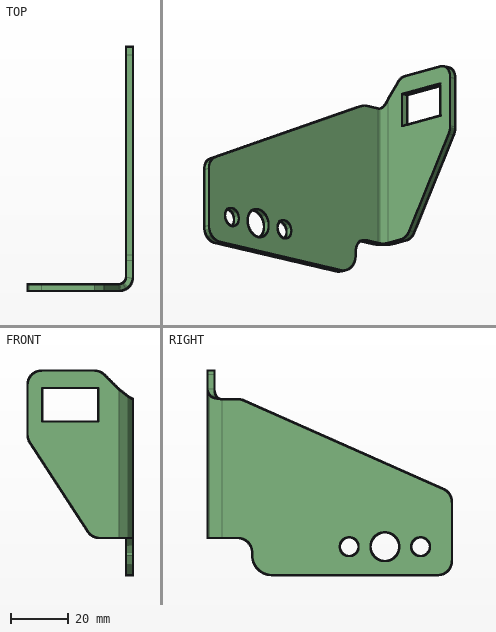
import math

import cadquery as cq


width = 37.0
depth = 85.61
height = 71.7
thickness = 2.5

inner_radius = 2.5
outer_radius = inner_radius + thickness
bend_x = width - outer_radius
bend_y = outer_radius

corner_radius = 5.0

flange_bottom = 13.0
left_edge_drop = 24.0
flange_foot_x = 22.6
top_corner_x = 25.5
ramp_angle = math.radians(45.0)
shoulder_drop = (bend_x - top_corner_x) * math.tan(ramp_angle)
shoulder_z = height - shoulder_drop

window_width = 19.6
window_height = 11.6
window_left = 5.2
window_top_margin = 6.2

web_top = 61.7
web_slope_start_y = 11.7
web_end_top = 28.9
web_foot_length = 70.0
notch_y = depth - web_foot_length
notch_foot_radius = 7.0

hole_z = 10.0
hole_pitch = 12.5
main_hole_setback = 23.5
main_hole_y = depth - main_hole_setback
main_hole_diameter = 10.0
side_hole_diameter = 6.5

middle_radius = (inner_radius + outer_radius) / 2
ramp_length = (shoulder_z - web_top) / math.tan(ramp_angle)
blend_tangent = corner_radius * math.tan(ramp_angle / 2)
blend_start = ramp_length - blend_tangent * math.cos(ramp_angle)
blend_end = ramp_length + blend_tangent

cutter_margin = 1.0
edge_steps = 8


def make_flange():
    outline = [
        (0, height),
        (top_corner_x, height),
        (bend_x, shoulder_z),
        (bend_x, flange_bottom),
        (flange_foot_x, flange_bottom),
        (0, height - left_edge_drop),
    ]
    plate = cq.Workplane("XZ").polyline(outline).close().extrude(-thickness)
    rounded_corners = [point for point in outline if point[0] < bend_x]
    for x, z in rounded_corners:
        corner = cq.selectors.NearestToPointSelector((x, thickness / 2, z))
        plate = plate.edges("|Y").edges(corner).fillet(corner_radius)
    window = cq.Workplane("XY").box(window_width, thickness, window_height, centered=False)
    window_bottom = height - window_top_margin - window_height
    return plate.cut(window.translate((window_left, 0, window_bottom)))


def make_web():
    outline = [
        (bend_y, web_top),
        (web_slope_start_y, web_top),
        (depth, web_end_top),
        (depth, 0),
        (notch_y, 0),
        (notch_y, flange_bottom),
        (bend_y, flange_bottom),
    ]
    radii = [0, corner_radius, corner_radius, corner_radius, notch_foot_radius, corner_radius, 0]
    plate_plane = cq.Workplane("YZ", origin=(width - thickness, 0, 0))
    plate = plate_plane.polyline(outline).close().extrude(thickness)
    for (y, z), radius in zip(outline, radii):
        if radius > 0:
            corner = cq.selectors.NearestToPointSelector((width - thickness / 2, y, z))
            plate = plate.edges("|X").edges(corner).fillet(radius)
    side_holes = [(main_hole_y + side * hole_pitch, hole_z) for side in (-1, 1)]
    holes = plate_plane.pushPoints(side_holes).circle(side_hole_diameter / 2).extrude(thickness)
    main_hole = plate_plane.center(main_hole_y, hole_z).circle(main_hole_diameter / 2).extrude(thickness)
    return plate.cut(holes).cut(main_hole)


def bend_point(radius, angle, z):
    """Point at an angle around the bend axis, measured from the flange side."""
    return cq.Vector(bend_x + radius * math.sin(angle), bend_y - radius * math.cos(angle), z)


def bend_top(angle):
    """Height of the top edge at an angle around the bend."""
    run = middle_radius * angle
    if run < blend_start:
        return shoulder_z - run * math.tan(ramp_angle)
    if run < blend_end:
        distance_to_end = blend_end - run
        return web_top + corner_radius - math.sqrt(corner_radius**2 - distance_to_end**2)
    return web_top


def top_edge(radius, start_run, end_run, steps):
    """Edge of the top face at one radius, between two lengths along the unbent sheet."""
    runs = [start_run + (end_run - start_run) * i / steps for i in range(steps + 1)]
    angles = [run / middle_radius for run in runs]
    return cq.Edge.makeSpline([bend_point(radius, angle, bend_top(angle)) for angle in angles])


def make_bend():
    ring = (
        cq.Workplane("XY", origin=(bend_x, bend_y, flange_bottom))
        .circle(outer_radius)
        .circle(inner_radius)
        .extrude(height - flange_bottom)
    )
    quadrant = cq.Workplane("XY").box(outer_radius, outer_radius, height, centered=False)
    bend = ring.intersect(quadrant.translate((bend_x, 0, 0)))

    quarter_turn_run = middle_radius * math.pi / 2
    stations = [0, blend_start, blend_end, quarter_turn_run]
    for start_run, end_run in zip(stations[:-1], stations[1:]):
        inner_edge = top_edge(inner_radius - cutter_margin, start_run, end_run, edge_steps)
        outer_edge = top_edge(outer_radius + cutter_margin, start_run, end_run, edge_steps)
        top_face = cq.Face.makeRuledSurface(inner_edge, outer_edge)
        waste = cq.Solid.extrudeLinear(top_face, cq.Vector(0, 0, height))
        bend = bend.cut(cq.Workplane(waste))
    return bend


result = make_flange().union(make_web()).union(make_bend())